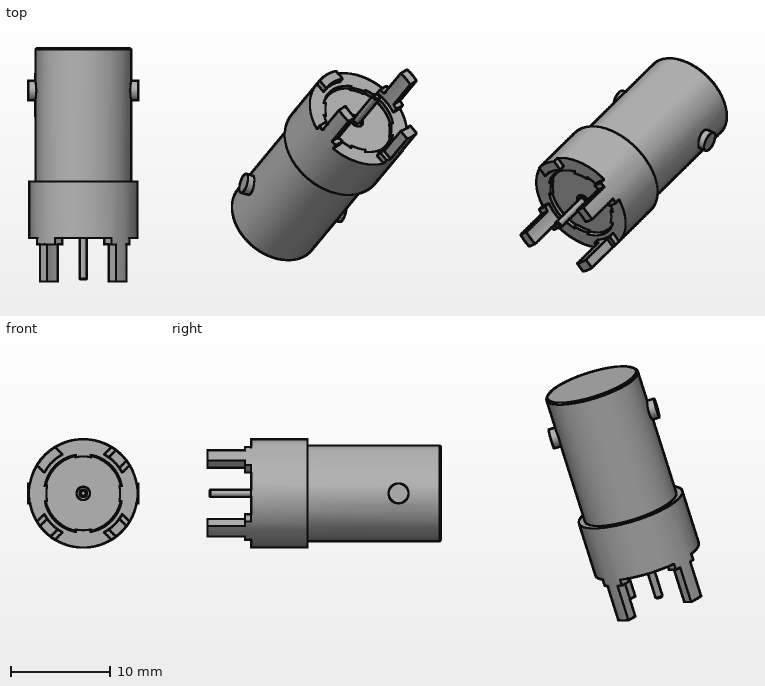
import cadquery as cq

length = 23.5
leg_end_to_flange = 4.4
flange_length = 5.69
flange_back = leg_end_to_flange + flange_length

flange_diameter = 10.93
barrel_diameter = 9.65
barrel_chamfer = 0.16
stud_diameter = 2.0
stud_span = 11.07
stud_y = 19.22

ring_inner_diameter = 8.88
pad_width = 2.58
pad_height = 0.63
leg_width = 1.5
pad_angles = (45, 135, 225, 315)
leg_angles = (45, 225, 315)

bore_diameter = 7.9
insert_recess = 0.4
insert_chamfer = 0.1
lip_diameter = 7.43
lip_width = 1.55
lip_angles = (0, 90, 180, 270)

pin_diameter = 0.75
pin_end_y = 0.2
pin_chamfer = 0.12
collar_diameter = 1.35
collar_height = 0.1

insert_front = leg_end_to_flange + insert_recess


def cylinder(diameter, y_start, y_end):
    """Round bar on the Y axis between two Y positions."""
    plane = cq.Workplane("XZ", origin=(0, y_start, 0))
    return plane.circle(diameter / 2).extrude(-(y_end - y_start))


def ring_sector(inner_diameter, outer_diameter, width, angle, y_start, y_end):
    """Piece of a ring around Y with parallel sides, at an angle from +X toward +Z."""
    ring = cylinder(outer_diameter, y_start, y_end).cut(cylinder(inner_diameter, y_start, y_end))
    strip = cq.Workplane("XY").box(
        outer_diameter, y_end - y_start, width, centered=(False, False, True)
    )
    strip = strip.translate((0, y_start, 0)).rotate((0, 0, 0), (0, 1, 0), -angle)
    return ring.intersect(strip)


def make_housing():
    flange = cylinder(flange_diameter, leg_end_to_flange, flange_back)
    barrel = cylinder(barrel_diameter, flange_back, length).faces(">Y").chamfer(barrel_chamfer)
    studs = (
        cq.Workplane("YZ", origin=(-stud_span / 2, stud_y, 0))
        .circle(stud_diameter / 2)
        .extrude(stud_span)
    )
    housing = flange.union(barrel).union(studs)
    housing = housing.cut(cylinder(bore_diameter, leg_end_to_flange, flange_back))

    for angle in lip_angles:
        lip = ring_sector(
            lip_diameter, flange_diameter, lip_width, angle, leg_end_to_flange, insert_front
        )
        housing = housing.union(lip)

    pad_end = leg_end_to_flange - pad_height
    for angle in pad_angles:
        pad = ring_sector(
            ring_inner_diameter, flange_diameter, pad_width, angle, pad_end, leg_end_to_flange
        )
        housing = housing.union(pad)
    for angle in leg_angles:
        leg = ring_sector(ring_inner_diameter, flange_diameter, leg_width, angle, 0, pad_end)
        housing = housing.union(leg)
    return housing


def make_pin():
    shaft = cylinder(pin_diameter, pin_end_y, flange_back).faces("<Y").chamfer(pin_chamfer)
    return shaft.union(cylinder(collar_diameter, insert_front - collar_height, flange_back))


def make_insert():
    disc = cylinder(bore_diameter, insert_front, flange_back).faces("<Y").chamfer(insert_chamfer)
    return disc.cut(cylinder(collar_diameter, insert_front, flange_back))


housing = make_housing()
insert = make_insert()
pin = make_pin()

result = cq.Compound.makeCompound([housing.val(), insert.val(), pin.val()])